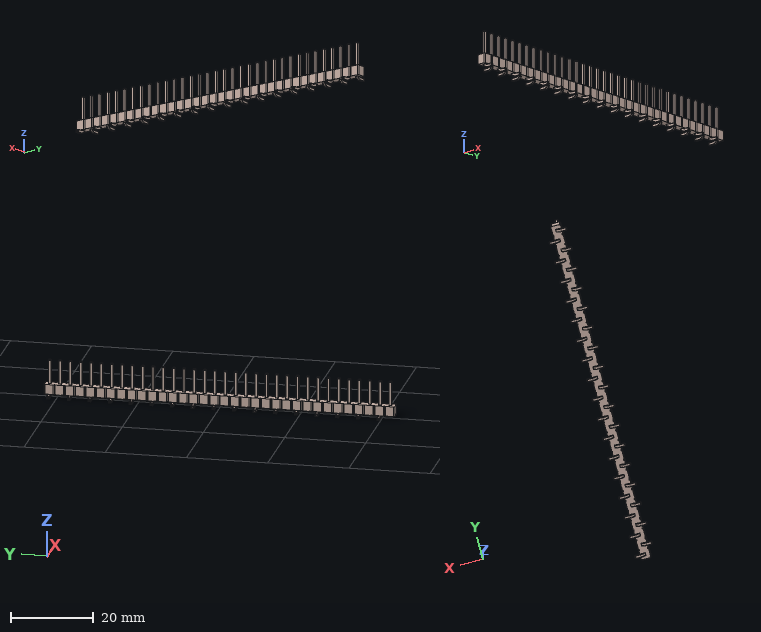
import cadquery as cq


PIN_COUNT = 34
LENGTH = 86.4
LEG_SPAN = 5.0
HEIGHT = 9.3
PITCH = LENGTH / PIN_COUNT

BODY_WIDTH = 2.5
BODY_HEIGHT = 2.5
BODY_BOTTOM = 0.8
CELL_CHAMFER = 0.25

PIN_SIZE = 0.66
TIP_CHAMFER = 0.2
BEND_INNER_RADIUS = 0.7
BEND_OUTER_RADIUS = BEND_INNER_RADIUS + PIN_SIZE


def make_body():
    """Strip of octagonal cells; neighbouring chamfers meet as V grooves on both sides."""
    face_x = BODY_WIDTH / 2
    groove_x = face_x - CELL_CHAMFER

    right_side = []
    for index in range(PIN_COUNT):
        cell_start = index * PITCH - LENGTH / 2
        cell_end = cell_start + PITCH
        right_side += [
            (groove_x, cell_start),
            (face_x, cell_start + CELL_CHAMFER),
            (face_x, cell_end - CELL_CHAMFER),
        ]
    right_side.append((groove_x, LENGTH / 2))

    left_side = [(-x, -y) for x, y in right_side]
    return (
        cq.Workplane("XY", origin=(0, 0, BODY_BOTTOM))
        .polyline(right_side + left_side)
        .close()
        .extrude(BODY_HEIGHT)
    )


def make_pin():
    """One wire, upright through the housing and bent at the bottom toward +X."""
    half = PIN_SIZE / 2
    tip_x = LEG_SPAN / 2
    bend_center_x = half + BEND_INNER_RADIUS
    wire = (
        cq.Workplane("XZ")
        .moveTo(-half, HEIGHT)
        .lineTo(-half, BEND_OUTER_RADIUS)
        .radiusArc((bend_center_x, 0), -BEND_OUTER_RADIUS)
        .lineTo(tip_x, 0)
        .lineTo(tip_x, PIN_SIZE)
        .lineTo(bend_center_x, PIN_SIZE)
        .radiusArc((half, BEND_OUTER_RADIUS), BEND_INNER_RADIUS)
        .lineTo(half, HEIGHT)
        .close()
        .extrude(half, both=True)
    )
    top_beveled = wire.faces(">Z").chamfer(TIP_CHAMFER)
    return top_beveled.faces(">X").chamfer(TIP_CHAMFER)


def make_pin_row():
    """All pins along Y; the first, at the -Y end, points toward +X."""
    right_pin = make_pin().val()
    left_pin = right_pin.rotate(cq.Vector(0, 0, 0), cq.Vector(0, 0, 1), 180)
    pins = []
    for index in range(PIN_COUNT):
        pin = right_pin if index % 2 == 0 else left_pin
        pin_y = (index + 0.5) * PITCH - LENGTH / 2
        pins.append(pin.translate(cq.Vector(0, pin_y, 0)))
    return pins


header = make_body().val().fuse(*make_pin_row())
result = cq.Workplane(header).solids()